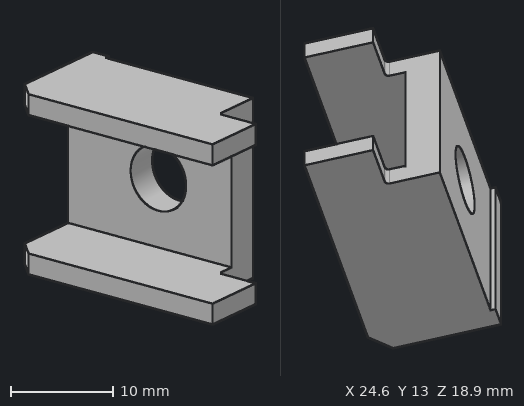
import cadquery as cq

length = 24.6
depth = 13.0
height = 18.9

flange_thickness = 2.2
web_length = 20.1
web_front_y = 9.0

lip_length = 2.0
lip_height = 0.5
front_chamfer = 2.0
arm_depth = 7.0
notch_fillet = 0.4

hole_diameter = 6.8
hole_x = 11.1

back_y = depth - lip_height
inner_height = height - 2 * flange_thickness


def make_body():
    """Solid block with the plan outline: chamfered front, rear lip and notched rear corner."""
    return (
        cq.Workplane("XY")
        .moveTo(front_chamfer, 0)
        .lineTo(length, 0)
        .lineTo(length, arm_depth)
        .lineTo(web_length + notch_fillet, arm_depth)
        .radiusArc((web_length, arm_depth + notch_fillet), notch_fillet)
        .lineTo(web_length, back_y)
        .lineTo(lip_length, back_y)
        .lineTo(lip_length, depth)
        .lineTo(0, depth)
        .lineTo(0, front_chamfer)
        .close()
        .extrude(height)
    )


def make_channel():
    """Space between the flanges, open to the front and both ends."""
    return (
        cq.Workplane("XY")
        .workplane(offset=flange_thickness)
        .rect(length, web_front_y, centered=False)
        .extrude(inner_height)
    )


def make_hole():
    """Cylinder through the web along Y, at mid height."""
    return (
        cq.Workplane("XZ")
        .center(hole_x, height / 2)
        .circle(hole_diameter / 2)
        .extrude(-depth)
    )


result = make_body().cut(make_channel()).cut(make_hole())